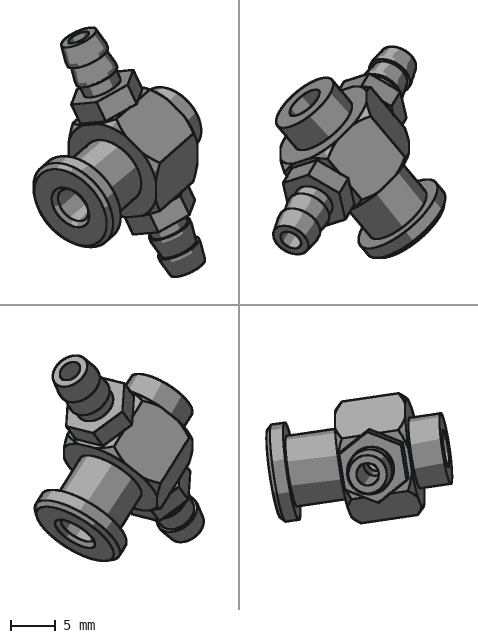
import cadquery as cq
import math


body_across_flats = 12.0
body_thickness = 8.0
body_face_diameter = 12.3
stem_diameter = 8.0
front_stem_length = 6.0
rear_stem_length = 3.52
flange_diameter = 11.0
flange_thickness = 2.0
edge_chamfer = 0.5
main_bore_diameter = 4.15

barb_angle = 30
nut_across_flats = 7.0
nut_height = 2.5
neck_diameter = 4.5
neck_length = 1.5
ridge_count = 2
ridge_diameter = 5.0
ridge_tip_diameter = 4.3
ridge_land = 0.5
ridge_taper = 2.0
barb_bore_diameter = 2.5

hexagon_sides = 6
half_side_angle = 180 / hexagon_sides
corner_factor = 1 / math.cos(math.radians(half_side_angle))
body_across_corners = body_across_flats * corner_factor
nut_across_corners = nut_across_flats * corner_factor
half_thickness = body_thickness / 2
flange_back_y = -half_thickness - front_stem_length
front_y = flange_back_y - flange_thickness
rear_y = half_thickness + rear_stem_length
barb_seat = body_across_flats / 2
ridge_pitch = ridge_land + ridge_taper
barb_length = nut_height + neck_length + ridge_count * ridge_pitch
barb_directions = [-barb_angle, 180 - barb_angle]


def aim_along_barb(shape, direction):
    """Turn a shape built along +Z about the Y axis to a barb direction."""
    return shape.rotate((0, 0, 0), (0, 1, 0), direction)


def cylinder_y(diameter, start, end):
    """Cylinder on the Y axis between two Y positions."""
    return cq.Workplane("XZ", origin=(0, end, 0)).circle(diameter / 2).extrude(end - start)


def make_hexagon():
    """Hexagonal block with a corner on +Z and 45 degree chamfered corners."""
    hexagon = (
        cq.Workplane("XZ")
        .polygon(hexagon_sides, body_across_corners)
        .extrude(half_thickness, both=True)
        .rotate((0, 0, 0), (0, 1, 0), half_side_angle)
    )
    corner_radius = body_across_corners / 2
    chamfer_depth = corner_radius - body_face_diameter / 2
    chamfer_envelope = (
        cylinder_y(body_across_corners, -half_thickness, half_thickness)
        .edges("%CIRCLE")
        .chamfer(chamfer_depth)
    )
    return hexagon.intersect(chamfer_envelope)


def make_body():
    stem = cylinder_y(stem_diameter, flange_back_y, rear_y)
    flange = cylinder_y(flange_diameter, front_y, flange_back_y).faces("<Y").chamfer(edge_chamfer)
    body = make_hexagon().union(stem).union(flange)

    body = body.cut(cylinder_y(main_bore_diameter, front_y, rear_y))
    body = body.faces("<Y").edges("%CIRCLE").edges(cq.selectors.RadiusNthSelector(0)).chamfer(edge_chamfer)

    for direction in barb_directions:
        passage = cq.Workplane("XY").circle(barb_bore_diameter / 2).extrude(barb_seat)
        body = body.cut(aim_along_barb(passage, direction))
    return body


def make_barb(direction):
    """Hose barb: hexagonal nut, neck and tapered ridges around a through bore."""
    nut_top = barb_seat + nut_height
    nut = (
        cq.Workplane("XY", origin=(0, 0, barb_seat))
        .polygon(hexagon_sides, nut_across_corners)
        .extrude(nut_height)
    )

    spout = cq.Workplane("XZ").moveTo(0, nut_top).lineTo(neck_diameter / 2, nut_top)
    ridge_base = nut_top + neck_length
    spout = spout.lineTo(neck_diameter / 2, ridge_base)
    for _ in range(ridge_count):
        spout = spout.lineTo(ridge_diameter / 2, ridge_base)
        spout = spout.lineTo(ridge_diameter / 2, ridge_base + ridge_land)
        ridge_base += ridge_pitch
        spout = spout.lineTo(ridge_tip_diameter / 2, ridge_base)
    spout = spout.lineTo(0, ridge_base).close().revolve(360, (0, 0, 0), (0, 1, 0))

    bore = cq.Workplane("XY").workplane(offset=barb_seat).circle(barb_bore_diameter / 2).extrude(barb_length)
    return aim_along_barb(nut.union(spout).cut(bore), direction)


body = make_body()
barbs = [make_barb(direction) for direction in barb_directions]

result = cq.Compound.makeCompound([body.val(), *[barb.val() for barb in barbs]])